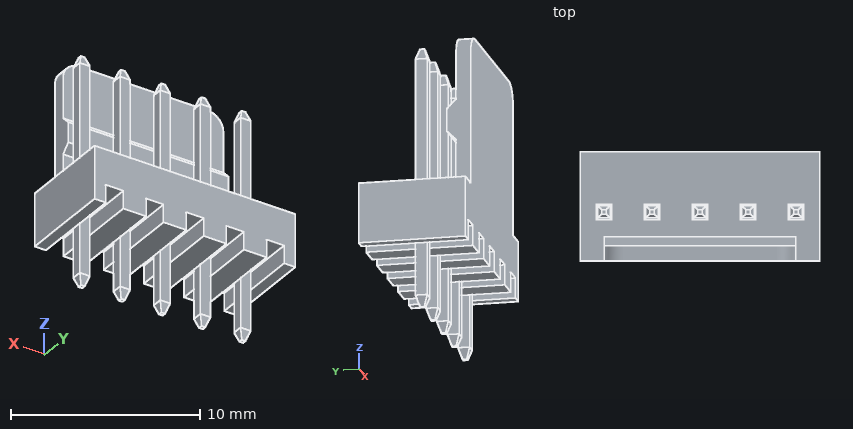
import cadquery as cq

body_length = 12.7
body_depth = 5.8
body_bottom = 3.4
body_height = 3.3
body_top = body_bottom + body_height
total_height = 14.9

pin_count = 5
pin_row_length = 10.16
pin_pitch = pin_row_length / (pin_count - 1)
pin_width = 0.64
pin_y = 2.61
pin_top = 14.2
pin_tip_length = 0.6
pin_tip_width = 0.24
pin_positions = [i * pin_pitch - pin_row_length / 2 for i in range(pin_count)]

recess_width = 0.82
recess_depth = 0.09

slot_width = 1.1
slot_height = 1.1

wall_length = 10.13
wall_thickness = 0.8
wall_corner_radius = 1.0
ridge_height = 0.49
ridge_flat = 1.25
ridge_centre_z = body_top + 3.56


def make_body():
    body = cq.Workplane("XY").box(
        body_length, body_depth, body_height, centered=(True, False, False)
    )
    return body.translate((0, 0, body_bottom))


def make_wall():
    wall_height = total_height - body_top
    wall = cq.Workplane("XY").box(
        wall_length, wall_thickness, wall_height, centered=(True, False, False)
    )
    wall = wall.edges("|Y and >Z").fillet(wall_corner_radius)
    return wall.translate((0, 0, body_top))


def make_ridge():
    """Trapezoidal ridge with 45 degree flanks, as long as the wall."""
    half_flat = ridge_flat / 2
    half_base = half_flat + ridge_height
    crest_y = wall_thickness + ridge_height
    return (
        cq.Workplane("YZ")
        .polyline([
            (0, ridge_centre_z - half_base),
            (wall_thickness, ridge_centre_z - half_base),
            (crest_y, ridge_centre_z - half_flat),
            (crest_y, ridge_centre_z + half_flat),
            (wall_thickness, ridge_centre_z + half_base),
            (0, ridge_centre_z + half_base),
        ])
        .close()
        .extrude(wall_length / 2, both=True)
    )


def make_slot(x):
    slot = cq.Workplane("XY").box(
        slot_width, body_depth, slot_height, centered=(True, False, False)
    )
    return slot.translate((x, 0, body_bottom))


def make_taper(x, start_z, start_width, end_z, end_width):
    """Square frustum on a pin's axis, from start_z to end_z."""
    return (
        cq.Workplane("XY", origin=(x, pin_y, start_z))
        .rect(start_width, start_width)
        .workplane(offset=end_z - start_z)
        .rect(end_width, end_width)
        .loft(ruled=True)
    )


def make_recess(x):
    return make_taper(x, body_top - recess_depth, pin_width, body_top, recess_width)


def make_pin(x):
    shaft_bottom = pin_tip_length
    shaft_top = pin_top - pin_tip_length
    shaft = (
        cq.Workplane("XY", origin=(x, pin_y, shaft_bottom))
        .rect(pin_width, pin_width)
        .extrude(shaft_top - shaft_bottom)
    )
    lower_tip = make_taper(x, shaft_bottom, pin_width, 0, pin_tip_width)
    upper_tip = make_taper(x, shaft_top, pin_width, pin_top, pin_tip_width)
    return shaft.union(lower_tip).union(upper_tip)


result = make_body().union(make_wall()).union(make_ridge())
for pin_x in pin_positions:
    result = result.cut(make_slot(pin_x))
    result = result.cut(make_recess(pin_x))
    result = result.union(make_pin(pin_x))